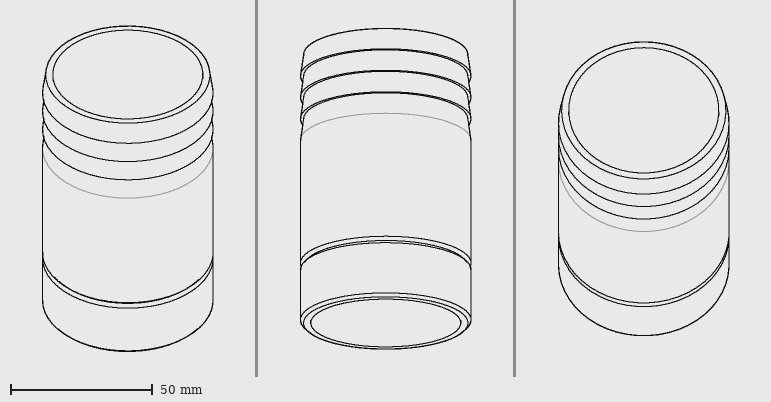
import cadquery as cq

length = 100.0
outer_radius = 60.3 / 2
bore_radius = 53.0 / 2

barb_count = 4
barb_pitch = 8.0
barb_tip_radius = 58.0 / 2

groove_bottom = 19.8
groove_width = 2.4
groove_depth = 1.2

end_chamfer = 1.1


def tube_body():
    """Revolve the barbed outer outline, from the bottom edge to the top."""
    barbs_start = length - barb_count * barb_pitch
    outline = [
        (bore_radius, 0),
        (outer_radius - end_chamfer, 0),
        (outer_radius, end_chamfer),
        (outer_radius, barbs_start),
    ]
    for barb in range(barb_count):
        base = barbs_start + barb * barb_pitch
        if barb > 0:
            outline.append((outer_radius, base))
        outline.append((barb_tip_radius, base + barb_pitch))
    outline.append((bore_radius, length))
    return cq.Workplane("XZ").polyline(outline).close().revolve(360, (0, 0), (0, 1))


def groove():
    """Ring of triangular section that cuts the groove."""
    middle = groove_bottom + groove_width / 2
    outline = [
        (outer_radius, groove_bottom),
        (outer_radius - groove_depth, middle),
        (outer_radius, groove_bottom + groove_width),
    ]
    return cq.Workplane("XZ").polyline(outline).close().revolve(360, (0, 0), (0, 1))


result = tube_body().cut(groove())